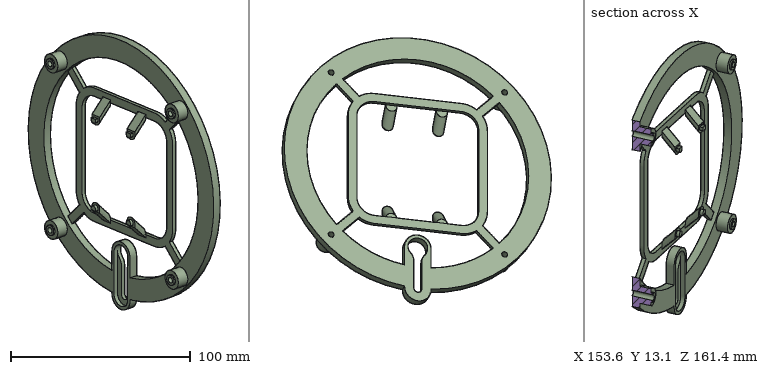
import cadquery as cq
import math


ring_radius = 76.8
ring_hole_radius = 63.7
ring_depth = 5.0

frame_depth = 2.5
frame_size = 80.0
frame_bar = 5.0
frame_corner_radius = 15.0
spoke_width = 5.0

post_offset = 49.9
post_radius = 5.5
post_height = 7.1
post_lip_radius = 3.0
post_lip_height = 1.0
post_bore_radius = 1.6

hanger_radius = 7.6
hanger_bottom_z = ring_radius - 161.4
hanger_low_z = hanger_bottom_z + hanger_radius
hanger_length = 25.3
hanger_high_z = hanger_low_z + hanger_length
keyhole_radius = 5.6
keyhole_slot_radius = 2.3
keyhole_blend_radius = 7.5
keyhole_floor = 2.5

clip_offset_x = 14.5
clip_radius = 3.2
clip_tip_z = 26.5
clip_flat_height = 2.3
clip_reach = 5.6
peg_radius = 1.8
peg_flat_height = 1.1
peg_height = 2.0


def sketch_at(depth):
    """Sketch plane facing -Y, at the given distance in front of the back face."""
    return cq.Workplane("XZ", origin=(0, -depth, 0))


def cylinder(x, z, radius, start, length):
    return sketch_at(start).center(x, z).circle(radius).extrude(length)


def rounded_square(size, corner_radius):
    return sketch_at(0).rect(size, size).extrude(frame_depth).edges("|Y").fillet(corner_radius)


def stadium(radius, start, end):
    """Upright round-ended slab spanning the hanger's two end centres."""
    middle_z = (hanger_low_z + hanger_high_z) / 2
    slab = sketch_at(start).center(0, middle_z)
    return slab.slot2D(hanger_length + 2 * radius, 2 * radius, 90).extrude(end - start)


def keyhole():
    """Round entry blended by two arcs into a narrow round-ended slot."""
    blend_x = keyhole_slot_radius + keyhole_blend_radius
    centre_distance = keyhole_radius + keyhole_blend_radius
    blend_z = hanger_high_z - math.sqrt(centre_distance**2 - blend_x**2)
    share = keyhole_radius / centre_distance
    touch_x = blend_x * share
    touch_z = hanger_high_z + (blend_z - hanger_high_z) * share
    middle_angle = (math.pi + math.atan2(touch_z - blend_z, touch_x - blend_x)) / 2
    middle_x = blend_x + keyhole_blend_radius * math.cos(middle_angle)
    middle_z = blend_z + keyhole_blend_radius * math.sin(middle_angle)
    return (
        sketch_at(0)
        .moveTo(keyhole_slot_radius, hanger_low_z)
        .lineTo(keyhole_slot_radius, blend_z)
        .threePointArc((middle_x, middle_z), (touch_x, touch_z))
        .threePointArc((0, hanger_high_z + keyhole_radius), (-touch_x, touch_z))
        .threePointArc((-middle_x, middle_z), (-keyhole_slot_radius, blend_z))
        .lineTo(-keyhole_slot_radius, hanger_low_z)
        .threePointArc((0, hanger_low_z - keyhole_slot_radius), (keyhole_slot_radius, hanger_low_z))
        .close()
        .extrude(ring_depth)
    )


def arch(plane, radius, flat_height):
    """Outline with a flat top, straight sides and a half-round bottom."""
    return (
        plane.moveTo(-radius, 0)
        .lineTo(-radius, flat_height)
        .lineTo(radius, flat_height)
        .lineTo(radius, 0)
        .threePointArc((0, -radius), (-radius, 0))
        .close()
    )


def upper_clip(x):
    """Arm sliding down at 45 degrees from the frame's front face to its tip, plus the peg."""
    tip_depth = ring_depth + clip_reach
    rise = tip_depth - frame_depth
    root = arch(sketch_at(frame_depth).center(x, clip_tip_z + rise), clip_radius, clip_flat_height)
    slope = cq.Vector(0, -rise, -rise)
    arm = cq.Workplane(cq.Solid.extrudeLinear(root.val(), [], slope))
    tip = sketch_at(tip_depth).center(x, clip_tip_z)
    return arm.union(arch(tip, peg_radius, peg_flat_height).extrude(peg_height))


ring = cylinder(0, 0, ring_radius, 0, ring_depth)
ring = ring.cut(cylinder(0, 0, ring_hole_radius, 0, ring_depth))

spoke_length = ring_radius + ring_hole_radius
frame = rounded_square(frame_size, frame_corner_radius)
for angle in (45, -45):
    spoke = sketch_at(0).rect(spoke_length, spoke_width).extrude(frame_depth)
    frame = frame.union(spoke.rotate((0, 0, 0), (0, 1, 0), angle))
frame = frame.cut(rounded_square(frame_size - 2 * frame_bar, frame_corner_radius - frame_bar))
body = ring.union(frame)

body = body.union(stadium(hanger_radius, 0, ring_depth))

post_end = ring_depth + post_height
for x in (-post_offset, post_offset):
    for z in (-post_offset, post_offset):
        body = body.union(cylinder(x, z, post_radius, ring_depth, post_height))
        body = body.union(cylinder(x, z, post_lip_radius, post_end, post_lip_height))
        body = body.cut(cylinder(x, z, post_bore_radius, 0, post_end + post_lip_height))

for x in (-clip_offset_x, clip_offset_x):
    clip = upper_clip(x)
    body = body.union(clip).union(clip.mirror("XY"))

body = body.cut(stadium(keyhole_radius, keyhole_floor, ring_depth), clean=False)
result = body.cut(keyhole(), clean=False)